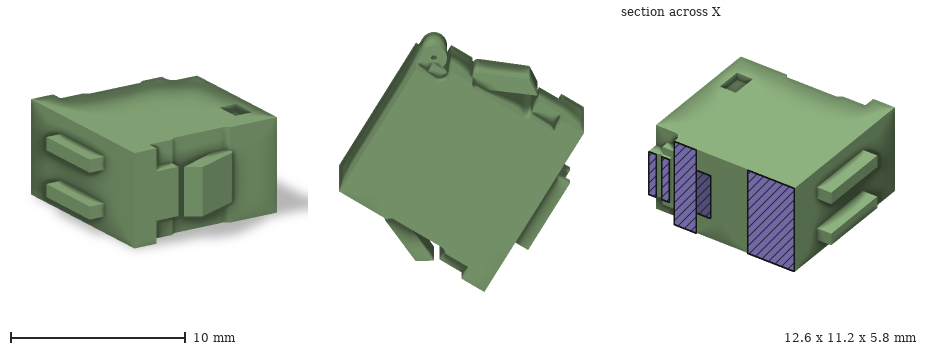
import cadquery as cq
import math


CUT_OVERSHOOT = 0.13

BODY_HALF_WIDTH = 4.71
BODY_LENGTH = 10.2
HEIGHT = 5.8
HALF_HEIGHT = HEIGHT / 2

FLANGE_HALF_WIDTH = 5.5
FLANGE_LENGTH = 3.0
FLANGE_FULL_HEIGHT_LENGTH = 1.51
TONGUE_HEIGHT = 3.0

RECESS_HALF_WIDTH = 4.5
RECESS_FRONT_RADIUS = 0.5

ARM_HEIGHT = TONGUE_HEIGHT
ARM_END_RADIUS = 0.35
ARM_PIVOT_X = 4.84
ARM_PIVOT_Y = 6.67
ARM_OUTER_EDGE_ANGLE = 14.0
ARM_WALL_ANGLE = 180 + math.degrees(math.acos((ARM_PIVOT_X - RECESS_HALF_WIDTH) / ARM_END_RADIUS))
ARM_OUTER_TIP = (6.3, 4.12)
ARM_INNER_TIP = (5.72, 3.23)
ARM_LEAVES_WALL_Y = 5.93

NOTCH_WALL_X = -3.79
NOTCH_LENGTH = 1.8
NOTCH_RADIUS = 0.52
NOTCH_FRONT_Y = BODY_LENGTH - NOTCH_LENGTH
BLOCK_HEIGHT = 3.98
BLOCK_SIDE_X = NOTCH_WALL_X - NOTCH_RADIUS
BLOCK_SETBACK = 0.81
BLOCK_REAR_Y = BODY_LENGTH - BLOCK_SETBACK

KNUCKLE_HEIGHT = TONGUE_HEIGHT
KNUCKLE_RADIUS = 0.74
KNUCKLE_X = -4.55
KNUCKLE_Y = BODY_LENGTH - KNUCKLE_RADIUS
PIN_HOLE_DIAMETER = 0.33

POCKET_WIDTH = 1.71
POCKET_LENGTH = 1.12
POCKET_DEPTH = 0.5
POCKET_X = 2.37
POCKET_Y = 8.88

TAB_WIDTH = 4.61
TAB_LENGTH = 1.0
TAB_HEIGHT = 0.8
TAB_CENTERS_Z = (1.34, -1.51)


def box_between(x_range, y_range, z_range):
    """Axis-aligned box that fills the three given ranges."""
    return (
        cq.Workplane("XY", origin=(x_range[0], y_range[0], z_range[0]))
        .box(
            x_range[1] - x_range[0],
            y_range[1] - y_range[0],
            z_range[1] - z_range[0],
            centered=False,
        )
    )


def centered_prism(sketch, height):
    """Extrude a plan outline symmetrically about Z = 0."""
    return sketch.extrude(height / 2, both=True)


def on_arm_end(angle):
    """Point on the round end of the right arm, at an angle in degrees from +X."""
    return (
        ARM_PIVOT_X + ARM_END_RADIUS * math.cos(math.radians(angle)),
        ARM_PIVOT_Y + ARM_END_RADIUS * math.sin(math.radians(angle)),
    )


def mirror_to_left(body):
    return body.mirror("YZ")


def make_shell():
    """Main block with the wider flange across its front."""
    body = box_between((-BODY_HALF_WIDTH, BODY_HALF_WIDTH), (0, BODY_LENGTH), (-HALF_HEIGHT, HALF_HEIGHT))
    flange = box_between(
        (-FLANGE_HALF_WIDTH, FLANGE_HALF_WIDTH), (0, FLANGE_LENGTH), (-HALF_HEIGHT, HALF_HEIGHT)
    )
    return body.union(flange)


def make_right_recess():
    """Cutter for the side recess: rear end follows the arm, front end blends into the flange."""
    diagonal = math.sqrt(0.5)
    outside_x = FLANGE_HALF_WIDTH + CUT_OVERSHOOT
    blend_x = RECESS_HALF_WIDTH + RECESS_FRONT_RADIUS
    blend_y = FLANGE_LENGTH + RECESS_FRONT_RADIUS
    outline = (
        cq.Workplane("XY")
        .moveTo(outside_x, FLANGE_LENGTH)
        .lineTo(blend_x, FLANGE_LENGTH)
        .threePointArc(
            (blend_x - RECESS_FRONT_RADIUS * diagonal, blend_y - RECESS_FRONT_RADIUS * diagonal),
            (RECESS_HALF_WIDTH, blend_y),
        )
        .lineTo(*on_arm_end(ARM_WALL_ANGLE))
        .threePointArc(on_arm_end((ARM_WALL_ANGLE + 90) / 2), on_arm_end(90))
        .lineTo(outside_x, ARM_PIVOT_Y + ARM_END_RADIUS)
        .close()
    )
    return centered_prism(outline, HEIGHT)


def make_right_flange_steps():
    """Cutters that leave the rear of the flange as a tongue at mid-height."""
    x_range = (BODY_HALF_WIDTH, FLANGE_HALF_WIDTH)
    y_range = (FLANGE_FULL_HEIGHT_LENGTH, FLANGE_LENGTH)
    upper = box_between(x_range, y_range, (TONGUE_HEIGHT / 2, HALF_HEIGHT))
    return upper.union(upper.mirror("XY"))


def make_notch():
    """Cutter for the rear left corner, rounded where its two walls meet."""
    notch = box_between(
        (-BODY_HALF_WIDTH, NOTCH_WALL_X), (NOTCH_FRONT_Y, BODY_LENGTH), (-HALF_HEIGHT, HALF_HEIGHT)
    )
    return notch.edges("|Z and >X and <Y").fillet(NOTCH_RADIUS)


def make_notch_block():
    """Material that fills the inner part of the notch at mid-height."""
    return box_between(
        (BLOCK_SIDE_X, NOTCH_WALL_X), (NOTCH_FRONT_Y, BLOCK_REAR_Y), (-BLOCK_HEIGHT / 2, BLOCK_HEIGHT / 2)
    )


def make_knuckle():
    """Round hinge barrel and the web that ties it to the notch wall."""
    barrel = centered_prism(
        cq.Workplane("XY").center(KNUCKLE_X, KNUCKLE_Y).circle(KNUCKLE_RADIUS), KNUCKLE_HEIGHT
    )
    web = box_between(
        (KNUCKLE_X, NOTCH_WALL_X), (BLOCK_REAR_Y, BODY_LENGTH), (-KNUCKLE_HEIGHT / 2, KNUCKLE_HEIGHT / 2)
    )
    return barrel.union(web)


def make_pin_hole():
    return centered_prism(
        cq.Workplane("XY").center(KNUCKLE_X, KNUCKLE_Y).circle(PIN_HOLE_DIAMETER / 2), KNUCKLE_HEIGHT
    )


def make_pocket():
    return (
        cq.Workplane("XY", origin=(POCKET_X, POCKET_Y, HALF_HEIGHT))
        .rect(POCKET_WIDTH, POCKET_LENGTH)
        .extrude(-POCKET_DEPTH)
    )


def make_tab(center_z):
    return box_between(
        (-TAB_WIDTH / 2, TAB_WIDTH / 2),
        (-TAB_LENGTH, 0),
        (center_z - TAB_HEIGHT / 2, center_z + TAB_HEIGHT / 2),
    )


def make_housing():
    housing = make_shell()
    for side_cut in (make_right_recess(), make_right_flange_steps()):
        housing = housing.cut(side_cut).cut(mirror_to_left(side_cut))
    housing = housing.cut(make_notch())
    housing = housing.union(make_notch_block())
    housing = housing.union(make_knuckle())
    housing = housing.cut(make_pin_hole())
    housing = housing.cut(make_pocket())
    for center_z in TAB_CENTERS_Z:
        housing = housing.union(make_tab(center_z))
    return housing


def make_right_arm():
    """Latch arm: round end bedded in the recess, free end cut to a slanted tip."""
    middle_angle = (ARM_OUTER_EDGE_ANGLE + ARM_WALL_ANGLE) / 2
    outline = (
        cq.Workplane("XY")
        .moveTo(*ARM_INNER_TIP)
        .lineTo(*ARM_OUTER_TIP)
        .lineTo(*on_arm_end(ARM_OUTER_EDGE_ANGLE))
        .threePointArc(on_arm_end(middle_angle), on_arm_end(ARM_WALL_ANGLE))
        .lineTo(RECESS_HALF_WIDTH, ARM_LEAVES_WALL_Y)
        .close()
    )
    return centered_prism(outline, ARM_HEIGHT)


housing = make_housing()
right_arm = make_right_arm()
latch_arms = [right_arm, mirror_to_left(right_arm)]

result = cq.Compound.makeCompound([body.solids().val() for body in [housing, *latch_arms]])